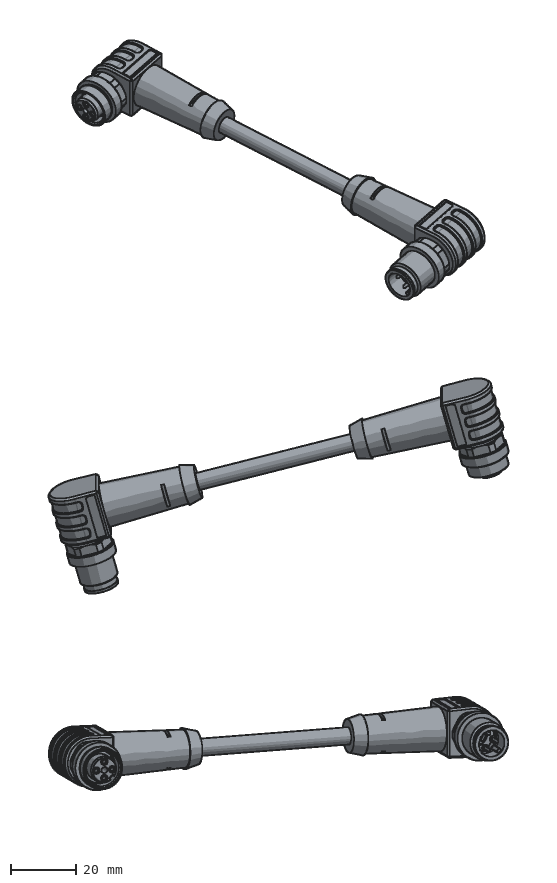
import cadquery as cq
import math


HEAD_RADIUS = 8.0
OVERALL_LENGTH = 141.0
HEAD_OFFSET = OVERALL_LENGTH / 2 - HEAD_RADIUS
CABLE_DIAMETER = 5.4
BOOT_END = 37.7

HEAD_DEPTH = 2 * HEAD_RADIUS
HEAD_TAPER = math.radians(2.0)
HEAD_CHAMFER = 0.65

GRIP_COUNT = 3
GRIP_PITCH = 4.5
GRIP_WIDTH = 3.3
GRIP_DEPTH = 0.4
GRIP_END = 2.2
GRIP_BEVEL = 0.3
GRIP_CORNER = 1.2
TOUCHING = 0.001

LABEL_START = 3.7
LABEL_END = 6.6
LABEL_LENGTH = 14.0
LABEL_CORNER = 0.6
LABEL_FLOOR = 7.45

BOOT_START_DIAMETER = 13.85
BOOT_SMALL_DIAMETER = 11.8
COLLAR_START = 33.4
COLLAR_DIAMETER = 12.8
COLLAR_END_DIAMETER = 10.5
BOOT_SLOT_X = 27.4
BOOT_SLOT_WIDTH = 1.0
BOOT_SLOT_FLOOR = 4.9

NECK_DIAMETER = 9.3
HEX_SIDES = 6
HEX_ACROSS_FLATS = 13.2
HEX_CORNER_DIAMETER = 14.2
HEX_CHAMFER = 0.4
HEX_START = -9.0
RING_DIAMETER = 15.0
RING_START = -12.0
RING_END = -15.3
RING_CHAMFER = 0.3

UNDERCUT_DIAMETER = 12.3
UNDERCUT_END = -15.9
SLEEVE_DIAMETER = 12.8
SLEEVE_END = -19.3
SLEEVE_BORE = 10.95
SLEEVE_BORE_DEPTH = 4.0
SLEEVE_BORE_CHAMFER = 0.45
INSERT_DIAMETER = 8.3
INSERT_END = -20.8
SEAL_SECTION = 1.0
SEAL_DIAMETER = 9.2
SEAL_EMBED = 0.05
SEAL_Y = SLEEVE_END + SLEEVE_BORE_DEPTH - SEAL_SECTION / 2 + SEAL_EMBED
CONTACT_CIRCLE = 5.2
CONTACT_COUNT = 4
CONTACT_HOLE_DIAMETER = 1.15
CONTACT_HOLE_DEPTH = 5.0
CENTRE_HOLE_DIAMETER = 1.9
INSERT_CHAMFER_WIDTH = 0.35
INSERT_CHAMFER_LENGTH = 0.8
CONTACT_RIM_DIAMETER = 2.1
CONTACT_RIM_DEPTH = 0.3

KEY_ANGLE = 135.0
KEY_WIDTH = 1.4
KEY_HEIGHT = 0.9
KEY_OVERLAP = 0.3
KEY_SETBACK = 0.8
KEYWAY_WIDTH = 1.6
KEYWAY_DEPTH = 1.0
KEYWAY_ANGLE = 45.0
KEYWAY_LENGTH = 4.0

PLUG_DIAMETER = 12.0
PLUG_END = -22.5
PLUG_CHAMFER_END = -23.0
TIP_DIAMETER = 10.5
LIP_DIAMETER = 10.8
LIP_START = -24.65
PLUG_TIP = -25.5
CAVITY_DIAMETER = 8.3
CAVITY_DEPTH = 6.0
CAVITY_FLOOR_BEVEL = 0.5
PIN_DIAMETER = 1.0
PIN_TIP = -23.3


def cylinder_y(diameter, start, end, x=0.0, z=0.0):
    """Cylinder about a line parallel to Y, running from y=start down to y=end."""
    plane = cq.Workplane("XZ", origin=(x, start, z))
    return plane.circle(diameter / 2).extrude(start - end)


def head_prism(inset=0.0):
    """Rounded head outline, tapering slightly toward the cable, moved inward by inset."""
    radius = HEAD_RADIUS - inset
    tangent_x = radius * math.sin(HEAD_TAPER)
    tangent_z = radius * math.cos(HEAD_TAPER)
    end_z = tangent_z - (HEAD_RADIUS - tangent_x) * math.tan(HEAD_TAPER)
    return (
        cq.Workplane("XZ", origin=(0, HEAD_DEPTH / 2, 0))
        .moveTo(HEAD_RADIUS, -end_z)
        .lineTo(tangent_x, -tangent_z)
        .threePointArc((-radius, 0), (tangent_x, tangent_z))
        .lineTo(HEAD_RADIUS, end_z)
        .close()
        .extrude(HEAD_DEPTH)
    )


def make_head():
    body = head_prism().faces("<Y or >Y or >X").edges().chamfer(HEAD_CHAMFER)
    core = head_prism(GRIP_DEPTH)
    grip_length = HEAD_RADIUS + GRIP_END + GRIP_CORNER
    for index in range(GRIP_COUNT):
        grip_y = (index - (GRIP_COUNT - 1) / 2) * GRIP_PITCH
        grip = (
            cq.Workplane("XY")
            .box(grip_length, GRIP_WIDTH, 2 * HEAD_DEPTH)
            .edges("|Z and >X")
            .fillet(GRIP_CORNER)
            .translate((GRIP_END - grip_length / 2, grip_y, 0))
        )
        body = body.cut(bevel_floor(grip.intersect(head_prism()).cut(core), core))
    return cut_labels(body)


def bevel_floor(pocket, core):
    """Bevel the pocket edges that lie on the core, so the pocket walls slope down to the floor."""
    shape = pocket.val()
    core_shape = core.val()
    floor_edges = []
    for edge in shape.Edges():
        middle = cq.Vertex.makeVertex(*edge.positionAt(0.5).toTuple())
        if middle.distance(core_shape) < TOUCHING:
            floor_edges.append(edge)
    return cq.Workplane("XY").add(shape.chamfer(GRIP_BEVEL, None, floor_edges))


def cut_labels(body):
    width = LABEL_END - LABEL_START
    depth = HEAD_RADIUS - LABEL_FLOOR
    label = (
        cq.Workplane("XY")
        .box(width, LABEL_LENGTH, depth, centered=(True, True, False))
        .edges("|Z and <X and >Y")
        .chamfer(LABEL_CORNER)
        .translate((LABEL_START + width / 2, 0, LABEL_FLOOR))
    )
    return body.cut(label).cut(label.mirror("XY"))


def make_boot():
    boot = (
        cq.Workplane("XZ")
        .lineTo(0, BOOT_START_DIAMETER / 2)
        .lineTo(HEAD_RADIUS, BOOT_START_DIAMETER / 2)
        .lineTo(COLLAR_START, BOOT_SMALL_DIAMETER / 2)
        .lineTo(COLLAR_START, COLLAR_DIAMETER / 2)
        .lineTo(BOOT_END, COLLAR_END_DIAMETER / 2)
        .lineTo(BOOT_END, 0)
        .close()
        .revolve(360, (0, 0, 0), (1, 0, 0))
    )
    slot = (
        cq.Workplane("XY")
        .box(BOOT_SLOT_WIDTH, HEAD_DEPTH, HEAD_RADIUS, centered=(True, True, False))
        .translate((BOOT_SLOT_X, 0, BOOT_SLOT_FLOOR))
    )
    return boot.cut(slot).cut(slot.mirror("XY"))


def make_nut():
    neck = cylinder_y(NECK_DIAMETER, 0, RING_END)
    hexagon = (
        cq.Workplane("XZ", origin=(0, HEX_START, 0))
        .polygon(HEX_SIDES, HEX_ACROSS_FLATS, circumscribed=True)
        .extrude(HEX_START - RING_START)
        .rotate((0, 0, 0), (0, 1, 0), 180 / HEX_SIDES)
    )
    corners = cylinder_y(HEX_CORNER_DIAMETER, HEX_START, RING_START)
    corners = corners.faces(">Y").chamfer(HEX_CHAMFER)
    ring = cylinder_y(RING_DIAMETER, RING_START, RING_END).faces(">Y").chamfer(RING_CHAMFER)
    return neck.union(hexagon.intersect(corners)).union(ring)


def make_housing():
    return make_head().union(make_boot()).union(make_nut())


def contact_places():
    for index in range(CONTACT_COUNT):
        angle = 2 * math.pi * index / CONTACT_COUNT
        yield CONTACT_CIRCLE / 2 * math.cos(angle), CONTACT_CIRCLE / 2 * math.sin(angle)


def radial_bar(outer_radius, height, width, start, end, angle):
    """Bar along Y whose outer face sits at outer_radius, turned about Y by angle from +X toward -Z."""
    length = start - end
    return (
        cq.Workplane("XY")
        .box(height, length, width)
        .translate((outer_radius - height / 2, start - length / 2, 0))
        .rotate((0, 0, 0), (0, 1, 0), angle)
    )


def make_insert():
    insert = cylinder_y(INSERT_DIAMETER, RING_START, INSERT_END)
    insert = insert.faces("<Y").chamfer(INSERT_CHAMFER_LENGTH, INSERT_CHAMFER_WIDTH)
    keyway_floor = INSERT_END + KEYWAY_LENGTH
    keyway = radial_bar(
        INSERT_DIAMETER / 2, KEYWAY_DEPTH, KEYWAY_WIDTH, keyway_floor, INSERT_END, KEYWAY_ANGLE
    )
    insert = insert.cut(keyway)
    floor = INSERT_END + CONTACT_HOLE_DEPTH
    for x, z in contact_places():
        hole = cylinder_y(CONTACT_HOLE_DIAMETER, floor, INSERT_END, x, z)
        rim = cylinder_y(CONTACT_RIM_DIAMETER, INSERT_END + CONTACT_RIM_DEPTH, INSERT_END, x, z)
        insert = insert.cut(hole).cut(rim)
    return insert.cut(cylinder_y(CENTRE_HOLE_DIAMETER, floor, INSERT_END))


def make_seal():
    centre = cq.Vector(0, SEAL_Y, 0)
    axis = cq.Vector(0, 1, 0)
    return cq.Workplane("XY").add(cq.Solid.makeTorus(SEAL_DIAMETER / 2, SEAL_SECTION / 2, centre, axis))


def make_socket():
    undercut = cylinder_y(UNDERCUT_DIAMETER, RING_START - RING_CHAMFER, UNDERCUT_END)
    sleeve = cylinder_y(SLEEVE_DIAMETER, UNDERCUT_END, SLEEVE_END)
    bore_floor = SLEEVE_END + SLEEVE_BORE_DEPTH
    chamfer_start = SLEEVE_END + SLEEVE_BORE_CHAMFER
    bore = (
        cq.Workplane("XY")
        .moveTo(0, bore_floor)
        .lineTo(SLEEVE_BORE / 2, bore_floor)
        .lineTo(SLEEVE_BORE / 2, chamfer_start)
        .lineTo(SLEEVE_BORE / 2 + SLEEVE_BORE_CHAMFER, SLEEVE_END)
        .lineTo(0, SLEEVE_END)
        .close()
        .revolve(360, (0, 0, 0), (0, 1, 0))
    )
    body = make_housing().union(undercut).union(sleeve).cut(bore)
    return body.union(make_insert()).union(make_seal())


def make_plug():
    barrel = (
        cq.Workplane("XY")
        .moveTo(0, RING_START)
        .lineTo(PLUG_DIAMETER / 2, RING_START)
        .lineTo(PLUG_DIAMETER / 2, PLUG_END)
        .lineTo(TIP_DIAMETER / 2, PLUG_CHAMFER_END)
        .lineTo(TIP_DIAMETER / 2, LIP_START)
        .lineTo(LIP_DIAMETER / 2, LIP_START)
        .lineTo(LIP_DIAMETER / 2, PLUG_TIP)
        .lineTo(0, PLUG_TIP)
        .close()
        .revolve(360, (0, 0, 0), (0, 1, 0))
    )
    cavity_floor = PLUG_TIP + CAVITY_DEPTH
    cavity = cylinder_y(CAVITY_DIAMETER, cavity_floor, PLUG_TIP)
    cavity = cavity.faces(">Y").chamfer(CAVITY_FLOOR_BEVEL)
    body = make_housing().union(barrel).cut(cavity)
    key_outer = CAVITY_DIAMETER / 2 + KEY_OVERLAP
    key_tip = PLUG_TIP + KEY_SETBACK
    key = radial_bar(key_outer, KEY_HEIGHT + KEY_OVERLAP, KEY_WIDTH, cavity_floor, key_tip, KEY_ANGLE)
    body = body.union(key)
    for x, z in contact_places():
        collar = cylinder_y(CONTACT_RIM_DIAMETER, cavity_floor, cavity_floor - CONTACT_RIM_DEPTH, x, z)
        body = body.union(collar).union(make_pin(x, z, cavity_floor))
    return body


def make_pin(x, z, base):
    radius = PIN_DIAMETER / 2
    dome_centre = PIN_TIP + radius
    dome = cq.Workplane("XY").sphere(radius).translate((x, dome_centre, z))
    return cylinder_y(PIN_DIAMETER, base, dome_centre, x, z).union(dome)


socket = make_socket().translate((-HEAD_OFFSET, 0, 0))
plug = make_plug().mirror("YZ").translate((HEAD_OFFSET, 0, 0))
cable_half_length = HEAD_OFFSET - COLLAR_START
cable = cq.Workplane("YZ").circle(CABLE_DIAMETER / 2).extrude(cable_half_length, both=True)

result = socket.union(cable).union(plug)